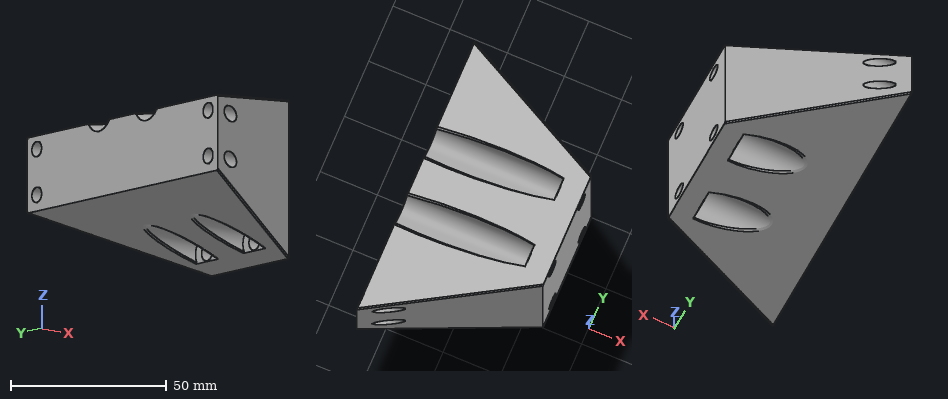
import cadquery as cq

depth = 53.0
front_width = 97.15
back_width = 39.9
back_height = 52.0
front_bottom = 18.6
front_top = 43.3
edge_chamfer = 0.5

corner_hole_diameter = 5.0
corner_hole_spacing_y = 87.1
corner_hole_spacing_z = 15.0
corner_hole_center_z = 31.4

bolt_diameter = 5.5
counterbore_diameter = 11.7
bolt_spacing_y = 24.1
lower_bolt_z = 5.8
upper_bolt_z = 46.0
wall_behind_counterbore = 8.0
counterbore_depth = depth - wall_behind_counterbore


def tapered_block():
    """Intersect the side outline with the plan outline."""
    side = (
        cq.Workplane("XZ")
        .polyline([(0, front_bottom), (depth, 0), (depth, back_height), (0, front_top)])
        .close()
        .extrude(front_width / 2, both=True)
    )
    plan = (
        cq.Workplane("XY")
        .polyline([
            (0, -front_width / 2),
            (depth, -back_width / 2),
            (depth, back_width / 2),
            (0, front_width / 2),
        ])
        .close()
        .extrude(back_height)
    )
    return side.intersect(plan)


def rods_along_x(diameter, length, places):
    """Cylinders starting on the X = 0 plane, centered at the given (y, z) places."""
    return cq.Workplane("YZ").pushPoints(places).circle(diameter / 2).extrude(length)


corner_places = [
    (y * corner_hole_spacing_y / 2, corner_hole_center_z + z * corner_hole_spacing_z / 2)
    for y in (-1, 1)
    for z in (-1, 1)
]
bolt_places = [
    (y * bolt_spacing_y / 2, z)
    for y in (-1, 1)
    for z in (lower_bolt_z, upper_bolt_z)
]

block = tapered_block()
block = block.cut(rods_along_x(counterbore_diameter, counterbore_depth, bolt_places))

sloped_faces = block.faces("%PLANE").faces("not #Z")
block = sloped_faces.edges("not |Y").chamfer(edge_chamfer)

block = block.cut(rods_along_x(bolt_diameter, depth, bolt_places))
result = block.cut(rods_along_x(corner_hole_diameter, depth, corner_places))